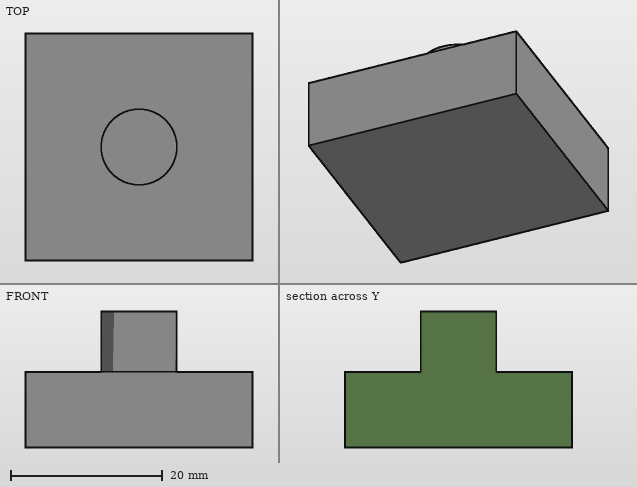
import cadquery as cq

base_side = 30.0
base_height = base_side / 3

total_height = 18.0
pin_diameter = base_side / 3
pin_height = total_height - base_height

base = cq.Workplane("XY").box(base_side, base_side, base_height, centered=(True, True, False))

pin = (
    cq.Workplane("XY")
    .workplane(offset=base_height)
    .circle(pin_diameter / 2)
    .extrude(pin_height)
)

result = base.union(pin)